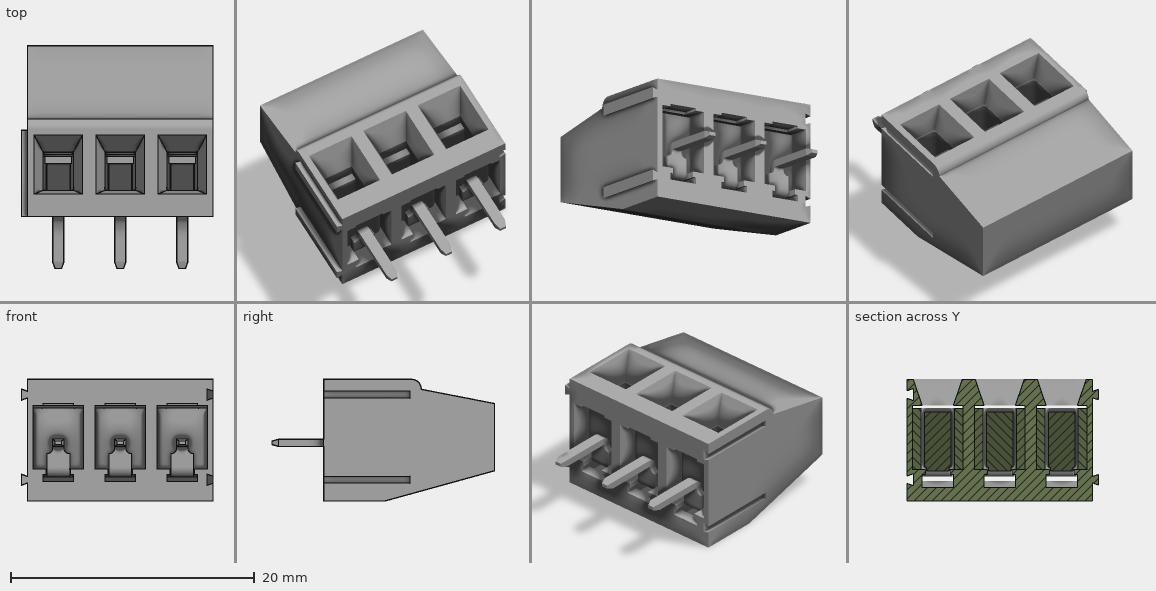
import cadquery as cq
import math


POLE_COUNT = 3
PITCH = 5.08
POLE_CENTRES = [PITCH * (i + 0.5) for i in range(POLE_COUNT)]

HOUSING_WIDTH = POLE_COUNT * PITCH
HOUSING_DEPTH = 14.02
HOUSING_HEIGHT = 10.0
FLAT_BOTTOM_DEPTH = 5.0
BACK_LOW_Z = 2.49
BACK_HIGH_Z = 8.0
SHOULDER_RADIUS = 0.82
SHOULDER_BACK_Y = 8.0
SHOULDER_FRONT_Y = SHOULDER_BACK_Y - SHOULDER_RADIUS
SHOULDER_LOW_Z = HOUSING_HEIGHT - SHOULDER_RADIUS

DOVETAIL_CENTRES_Z = [1.75, 8.74]
DOVETAIL_LENGTH = 7.1
TAIL_DEPTH = 0.5
TAIL_TIP_WIDTH = 0.93
TAIL_ROOT_WIDTH = 0.57
GROOVE_DEPTH = 0.53

CAGE_WIDTH = 4.13
CAGE_HEIGHT = 4.99
CAGE_BOTTOM_Z = 2.63
CAGE_CORNER_RADIUS = 0.55
CAGE_INNER_RADIUS = 0.37
CAGE_SIDE_WALL = 0.73
CAGE_END_WALL = 0.58
CAGE_CAVITY_DEPTH = 3.29

STRIP = 0.6
BEND_RADIUS = 0.15
UPRIGHT_BEND_RADIUS = 0.2
PLATE_FRONT_Y = 0.9
PLATE_WIDTH = 1.88
PLATE_SHOULDER_Z = 3.9
NECK_HEIGHT = 0.4
PIN_LENGTH = 4.26
PIN_WIDTH = 0.93
PIN_TOP_Z = 5.08
TIP_LENGTH = 0.55
TIP_WIDTH = 0.55
TIP_HEIGHT = 0.3
LUG_SPAN = 2.49
LUG_FRONT_Y = 4.02
LUG_HEIGHT = 0.16
UPRIGHT_WIDTH = 2.2
UPRIGHT_FRONT_Y = 4.35
PLATE_GAP = 0.05
FOOT_GAP = 0.04
UPRIGHT_TOP_Z = 7.35

POCKET_TOP_Z = 7.82
SLOT_WIDTH = 2.52
SLOT_BOTTOM_Z = 1.63
SLOT_NECK_WIDTH = 2.0
SLOT_NECK_Z = 2.18
SLOT_STEP_Y = 0.97
SLOT_DEEP_Z = 1.13
LIP_TOP_Z = 8.02
LIP_DEPTH = 1.55
FUNNEL_TOP_WIDTH = 3.99
FUNNEL_TOP_FRONT_Y = 1.85
FUNNEL_TOP_BACK_Y = 6.69
FUNNEL_LOW_WIDTH = 2.5
FUNNEL_LOW_FRONT_Y = 2.15
FUNNEL_LOW_BACK_Y = 5.32

SCREW_RADIUS = 1.25
THREAD_DEPTH = 0.15
THREAD_PITCH = 0.5
THREAD_START = 0.16
THREAD_COUNT = 2

PLATE_BACK_Y = PLATE_FRONT_Y + STRIP
PIN_BOTTOM_Z = PIN_TOP_Z - STRIP
FOOT_TOP_Z = CAGE_BOTTOM_Z - FOOT_GAP
FOOT_BOTTOM_Z = FOOT_TOP_Z - STRIP
UPRIGHT_BACK_Y = UPRIGHT_FRONT_Y + STRIP
CAGE_FRONT_Y = PLATE_BACK_Y + PLATE_GAP
CAGE_DEPTH = CAGE_CAVITY_DEPTH + 2 * CAGE_END_WALL
CAGE_BACK_Y = CAGE_FRONT_Y + CAGE_DEPTH
SCREW_Z = CAGE_BOTTOM_Z + CAGE_HEIGHT / 2
SCREW_LENGTH = CAGE_BACK_Y - UPRIGHT_BACK_Y
ARC_MID = 1 - math.sqrt(0.5)


def block(width, y_front, y_back, z_low, z_high):
    """Box centred on X = 0 between the given Y and Z limits."""
    box = cq.Workplane().box(width, y_back - y_front, z_high - z_low, centered=(True, False, False))
    return box.translate((0, y_front, z_low))


def screw_blank():
    """Plain cylinder along Y from the contact's upright to the back of the cage."""
    end_plane = cq.Workplane("XZ", origin=(0, UPRIGHT_BACK_Y, SCREW_Z))
    return end_plane.circle(SCREW_RADIUS).extrude(-SCREW_LENGTH)


def housing_block():
    """Side profile with sloped back faces and a rounded shoulder, extruded along X."""
    bulge = SHOULDER_RADIUS * math.sqrt(0.5)
    return (
        cq.Workplane("YZ")
        .moveTo(0, 0)
        .lineTo(FLAT_BOTTOM_DEPTH, 0)
        .lineTo(HOUSING_DEPTH, BACK_LOW_Z)
        .lineTo(HOUSING_DEPTH, BACK_HIGH_Z)
        .lineTo(SHOULDER_BACK_Y, SHOULDER_LOW_Z)
        .threePointArc((SHOULDER_FRONT_Y + bulge, SHOULDER_LOW_Z + bulge), (SHOULDER_FRONT_Y, HOUSING_HEIGHT))
        .lineTo(0, HOUSING_HEIGHT)
        .close()
        .extrude(HOUSING_WIDTH)
    )


def dovetail(root_x, depth, centre_z):
    """Dovetail bar along Y, widening from its root towards -X."""
    root = TAIL_ROOT_WIDTH / 2
    tip = TAIL_TIP_WIDTH / 2
    outline = [
        (root_x, centre_z - root),
        (root_x, centre_z + root),
        (root_x - depth, centre_z + tip),
        (root_x - depth, centre_z - tip),
    ]
    return cq.Workplane("XZ").polyline(outline).close().extrude(-DOVETAIL_LENGTH)


def wire_funnel():
    """Tapered wire entry from the top face down to the cage pocket."""
    low_depth = FUNNEL_LOW_BACK_Y - FUNNEL_LOW_FRONT_Y
    top_depth = FUNNEL_TOP_BACK_Y - FUNNEL_TOP_FRONT_Y
    low_mid_y = FUNNEL_LOW_FRONT_Y + low_depth / 2
    top_mid_y = FUNNEL_TOP_FRONT_Y + top_depth / 2
    return (
        cq.Workplane("XY", origin=(0, low_mid_y, POCKET_TOP_Z))
        .rect(FUNNEL_LOW_WIDTH, low_depth)
        .workplane(offset=HOUSING_HEIGHT - POCKET_TOP_Z)
        .center(0, top_mid_y - low_mid_y)
        .rect(FUNNEL_TOP_WIDTH, top_depth)
        .loft(ruled=True)
    )


def pole_opening():
    """Everything removed from the housing for one pole centred on X = 0."""
    pocket = block(CAGE_WIDTH, 0, CAGE_BACK_Y, CAGE_BOTTOM_Z, POCKET_TOP_Z)
    slot = block(SLOT_WIDTH, 0, UPRIGHT_BACK_Y, SLOT_BOTTOM_Z, SLOT_NECK_Z)
    neck = block(SLOT_NECK_WIDTH, 0, UPRIGHT_BACK_Y, SLOT_NECK_Z, CAGE_BOTTOM_Z)
    deep_slot = block(SLOT_WIDTH, SLOT_STEP_Y, UPRIGHT_BACK_Y, SLOT_DEEP_Z, SLOT_BOTTOM_Z)
    lip = block(SLOT_WIDTH, 0, LIP_DEPTH, POCKET_TOP_Z, LIP_TOP_Z)
    return pocket.union(slot).union(deep_slot).union(neck).union(lip).union(wire_funnel())


def make_housing():
    """Block with tails on the left wall, matching grooves on the right wall and one opening per pole."""
    housing = housing_block()
    for z in DOVETAIL_CENTRES_Z:
        housing = housing.union(dovetail(0, TAIL_DEPTH, z))
        housing = housing.cut(dovetail(HOUSING_WIDTH, GROOVE_DEPTH, z))
    opening = pole_opening()
    for x in POLE_CENTRES:
        housing = housing.cut(opening.translate((x, 0, 0)))
    return housing


def make_cage():
    """Rectangular tube along Z with rounded corners and a hole for the screw in its back wall."""
    cavity_width = CAGE_WIDTH - 2 * CAGE_SIDE_WALL
    shell = block(CAGE_WIDTH, CAGE_FRONT_Y, CAGE_BACK_Y, CAGE_BOTTOM_Z, CAGE_BOTTOM_Z + CAGE_HEIGHT)
    cavity = block(
        cavity_width,
        CAGE_FRONT_Y + CAGE_END_WALL,
        CAGE_BACK_Y - CAGE_END_WALL,
        CAGE_BOTTOM_Z,
        CAGE_BOTTOM_Z + CAGE_HEIGHT,
    )
    shell = shell.edges("|Z").fillet(CAGE_CORNER_RADIUS)
    cavity = cavity.edges("|Z and <Y").fillet(CAGE_INNER_RADIUS)
    return shell.cut(cavity).cut(screw_blank())


def bent_strip():
    """Side profile of the contact at the full span of its lugs, with rounded bends."""
    pin_end_y = TIP_LENGTH - PIN_LENGTH
    outline = [
        (pin_end_y, PIN_BOTTOM_Z),
        (PLATE_FRONT_Y, PIN_BOTTOM_Z),
        (PLATE_FRONT_Y, FOOT_BOTTOM_Z),
        (UPRIGHT_BACK_Y, FOOT_BOTTOM_Z),
        (UPRIGHT_BACK_Y, UPRIGHT_TOP_Z),
        (UPRIGHT_FRONT_Y, UPRIGHT_TOP_Z),
        (UPRIGHT_FRONT_Y, FOOT_TOP_Z),
        (PLATE_BACK_Y, FOOT_TOP_Z),
        (PLATE_BACK_Y, PIN_TOP_Z),
        (pin_end_y, PIN_TOP_Z),
    ]
    bends = [
        (PLATE_FRONT_Y, PIN_BOTTOM_Z, BEND_RADIUS),
        (PLATE_BACK_Y, PIN_TOP_Z, BEND_RADIUS + STRIP),
        (PLATE_BACK_Y, FOOT_TOP_Z, BEND_RADIUS),
        (PLATE_FRONT_Y, FOOT_BOTTOM_Z, BEND_RADIUS + STRIP),
        (UPRIGHT_FRONT_Y, FOOT_TOP_Z, UPRIGHT_BEND_RADIUS),
        (UPRIGHT_BACK_Y, FOOT_BOTTOM_Z, UPRIGHT_BEND_RADIUS + STRIP),
    ]
    strip = cq.Workplane("YZ").polyline(outline).close().extrude(LUG_SPAN / 2, both=True)
    for y, z, radius in bends:
        strip = strip.edges(cq.selectors.NearestToPointSelector((0, y, z))).fillet(radius)
    return strip


def front_outline():
    """Pin and plate outline in XZ: the plate narrows to the pin through two concave arcs."""
    pin = PIN_WIDTH / 2
    plate = PLATE_WIDTH / 2
    flare = plate - pin
    arc_x = pin + flare * ARC_MID
    arc_z = PLATE_SHOULDER_Z + NECK_HEIGHT * ARC_MID
    neck_z = PLATE_SHOULDER_Z + NECK_HEIGHT
    return (
        cq.Workplane("XZ", origin=(0, -PIN_LENGTH, 0))
        .moveTo(-plate, FOOT_BOTTOM_Z)
        .lineTo(plate, FOOT_BOTTOM_Z)
        .lineTo(plate, PLATE_SHOULDER_Z)
        .threePointArc((arc_x, arc_z), (pin, neck_z))
        .lineTo(pin, PIN_TOP_Z)
        .lineTo(-pin, PIN_TOP_Z)
        .lineTo(-pin, neck_z)
        .threePointArc((-arc_x, arc_z), (-plate, PLATE_SHOULDER_Z))
        .close()
        .extrude(-(PIN_LENGTH + PLATE_BACK_Y))
    )


def lugs():
    """Low lugs on both sides of the foot, under the slot neck, each with a 45 degree front face."""
    plate = PLATE_WIDTH / 2
    reach = LUG_SPAN / 2
    full_y = LUG_FRONT_Y + reach - plate
    outline = [
        (-plate, LUG_FRONT_Y),
        (plate, LUG_FRONT_Y),
        (reach, full_y),
        (reach, UPRIGHT_BACK_Y),
        (-reach, UPRIGHT_BACK_Y),
        (-reach, full_y),
    ]
    return cq.Workplane("XY", origin=(0, 0, FOOT_BOTTOM_Z)).polyline(outline).close().extrude(LUG_HEIGHT)


def pin_tip():
    """Tapered end of the pin."""
    return (
        cq.Workplane("XZ", origin=(0, TIP_LENGTH - PIN_LENGTH, PIN_TOP_Z - STRIP / 2))
        .rect(PIN_WIDTH, STRIP)
        .workplane(offset=TIP_LENGTH)
        .rect(TIP_WIDTH, TIP_HEIGHT)
        .loft(ruled=True)
    )


def make_contact():
    """Bent strip trimmed to the width of each of its parts, with the tapered tip added."""
    widening_z = FOOT_TOP_Z + UPRIGHT_BEND_RADIUS
    foot = block(PLATE_WIDTH, PLATE_FRONT_Y, UPRIGHT_BACK_Y, FOOT_BOTTOM_Z, widening_z)
    upright = block(UPRIGHT_WIDTH, UPRIGHT_FRONT_Y, UPRIGHT_BACK_Y, widening_z, UPRIGHT_TOP_Z)
    outline = front_outline().union(foot).union(lugs()).union(upright)
    return bent_strip().intersect(outline).union(pin_tip())


def make_screw():
    """Screw end between the upright and the back of the cage, with ring-shaped thread grooves."""
    screw = screw_blank()
    root_radius = SCREW_RADIUS - THREAD_DEPTH
    for i in range(THREAD_COUNT):
        start_y = UPRIGHT_BACK_Y + THREAD_START + i * THREAD_PITCH
        groove = (
            cq.Workplane("XY", origin=(0, 0, SCREW_Z))
            .polyline([
                (SCREW_RADIUS, start_y),
                (root_radius, start_y + THREAD_DEPTH),
                (SCREW_RADIUS, start_y + 2 * THREAD_DEPTH),
            ])
            .close()
            .revolve(360, (0, 0, 0), (0, 1, 0))
        )
        screw = screw.cut(groove)
    return screw


housing = make_housing()
cage = make_cage()
contact = make_contact()
screw = make_screw()

bodies = [housing.val()]
for x in POLE_CENTRES:
    for body in (cage, contact, screw):
        bodies.append(body.translate((x, 0, 0)).val())

result = cq.Compound.makeCompound(bodies)